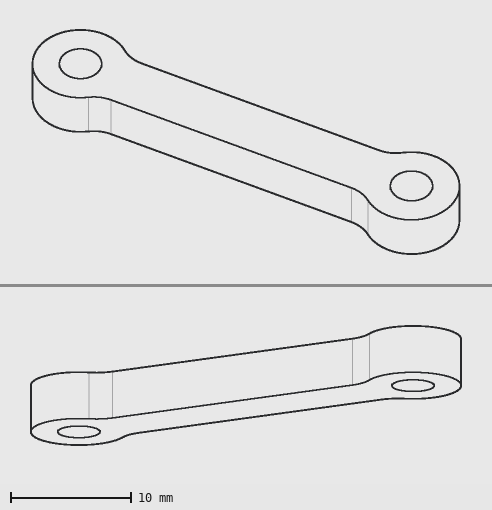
import cadquery as cq

length = 39.0
thickness = 4.0
eye_diameter = 8.0
hole_diameter = 3.5
bar_width = 5.0
neck_radius = 3.0
eye_offset = 0.1

eye_x = (length - eye_diameter) / 2
eye_y = eye_offset / 2
eye_centres = [(-eye_x, eye_y), (eye_x, -eye_y)]


def cylinders(diameter):
    """Upright cylinders of the given diameter on both eye centres."""
    return cq.Workplane("XY").pushPoints(eye_centres).circle(diameter / 2).extrude(thickness)


bar = cq.Workplane("XY").center(0, -eye_y).rect(2 * eye_x, bar_width).extrude(thickness)
link = bar.union(cylinders(eye_diameter))

neck_zone = cq.selectors.BoxSelector((-eye_x, -bar_width, 0), (eye_x, bar_width, thickness))
link = link.edges("|Z").edges(neck_zone).fillet(neck_radius)

result = link.cut(cylinders(hole_diameter))